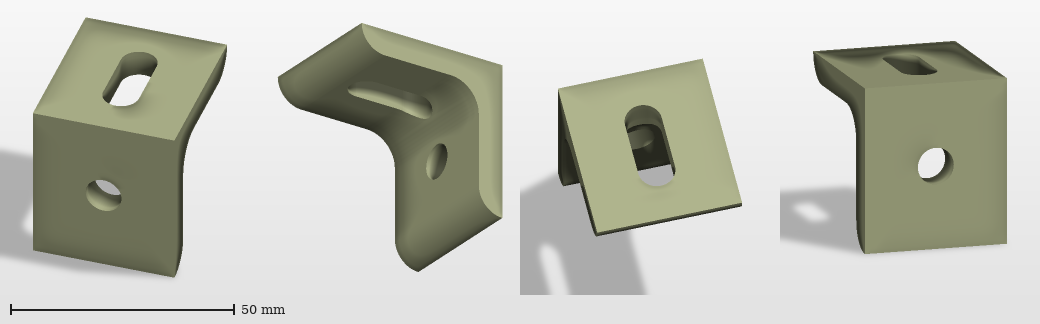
import cadquery as cq
import math

leg = 38.1
width = 33.35
thickness = 6.35
inner_radius = 7.62
hole_diameter = 8.42
slot_length = 21.2

middle = leg / 2
leg_underside = leg - thickness
fillet_end_y = thickness + inner_radius
fillet_end_z = leg_underside - inner_radius
diagonal = math.sqrt(0.5)


def angle_body():
    """L-shaped section with fully rounded toes and a filleted inner corner."""
    toe_offset = thickness * diagonal
    fillet_offset = inner_radius * diagonal
    section = (
        cq.Workplane("YZ", origin=(-width / 2, 0, 0))
        .moveTo(0, 0)
        .threePointArc((toe_offset, thickness - toe_offset), (thickness, thickness))
        .lineTo(thickness, fillet_end_z)
        .threePointArc(
            (fillet_end_y - fillet_offset, fillet_end_z + fillet_offset),
            (fillet_end_y, leg_underside),
        )
        .lineTo(leg_underside, leg_underside)
        .threePointArc((leg_underside + toe_offset, leg - toe_offset), (leg, leg))
        .lineTo(0, leg)
        .close()
    )
    return section.extrude(width)


def wall_hole():
    """Round hole through the middle of the vertical leg."""
    return (
        cq.Workplane("XZ")
        .center(0, middle)
        .circle(hole_diameter / 2)
        .extrude(-thickness)
    )


def top_slot():
    """Slot along Y through the horizontal leg and the inner fillet below it."""
    return (
        cq.Workplane("XY", origin=(0, middle, fillet_end_z))
        .slot2D(slot_length, hole_diameter, 90)
        .extrude(leg - fillet_end_z)
    )


result = angle_body().cut(wall_hole()).cut(top_slot())